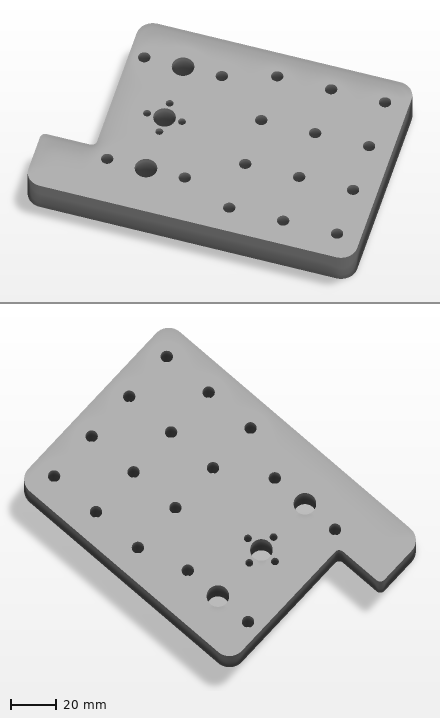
import cadquery as cq

length = 152.4
width = 100.0
thickness = 16.0
corner_radius = 7.5

notch_length = 25.0
foot_width = 28.0
notch_radius = 2.5

hole_diameter = 5.5
grid_pitch = width / 4
grid_columns = 3
grid_rows = 4
grid_end_margin = 10.8

bore_diameter = 10.0
bore_x = 2 * notch_length
bore_center_y = 51.7
bore_pitch = 29.0
flank_offset = 18.0

small_diameter = 3.5
small_offset = 8.1


def make_plate():
    """Plate with its outer lower-left corner at the origin."""
    plate = (
        cq.Workplane("XY")
        .moveTo(0, 0)
        .lineTo(length, 0)
        .lineTo(length, width)
        .lineTo(notch_length, width)
        .lineTo(notch_length, foot_width)
        .lineTo(0, foot_width)
        .close()
        .extrude(thickness)
    )
    foot_corners = cq.selectors.BoxSelector(
        (-1.5, foot_width - 1.5, -1.5),
        (notch_length + 1.5, foot_width + 1.5, thickness + 1.5),
    )
    plate = plate.edges("|Z").edges(foot_corners).fillet(notch_radius)
    outer_corners = (
        cq.selectors.BoxSelector((-1.5, -1.5, -1.5), (length + 1.5, 1.5, thickness + 1.5))
        + cq.selectors.BoxSelector((-1.5, width - 1.5, -1.5), (length + 1.5, width + 1.5, thickness + 1.5))
    )
    return plate.edges("|Z").edges(outer_corners).fillet(corner_radius)


def through_holes(points, diameter):
    """Cylinders through the full thickness at the given points."""
    return cq.Workplane("XY").pushPoints(points).circle(diameter / 2).extrude(thickness)


grid_points = [
    (length - grid_end_margin - column * grid_pitch, (row + 0.5) * grid_pitch)
    for column in range(grid_columns)
    for row in range(grid_rows)
]
bore_points = [(bore_x, bore_center_y + step * bore_pitch) for step in (-1, 0, 1)]
flank_points = [
    (bore_x + side * flank_offset, bore_center_y + step * bore_pitch)
    for side in (-1, 1)
    for step in (-1, 1)
]
small_points = [
    (bore_x + dx * small_offset, bore_center_y + dy * small_offset)
    for dx, dy in ((1, 0), (0, 1), (-1, 0), (0, -1))
]

result = (
    make_plate()
    .cut(through_holes(grid_points + flank_points, hole_diameter))
    .cut(through_holes(bore_points, bore_diameter))
    .cut(through_holes(small_points, small_diameter))
)